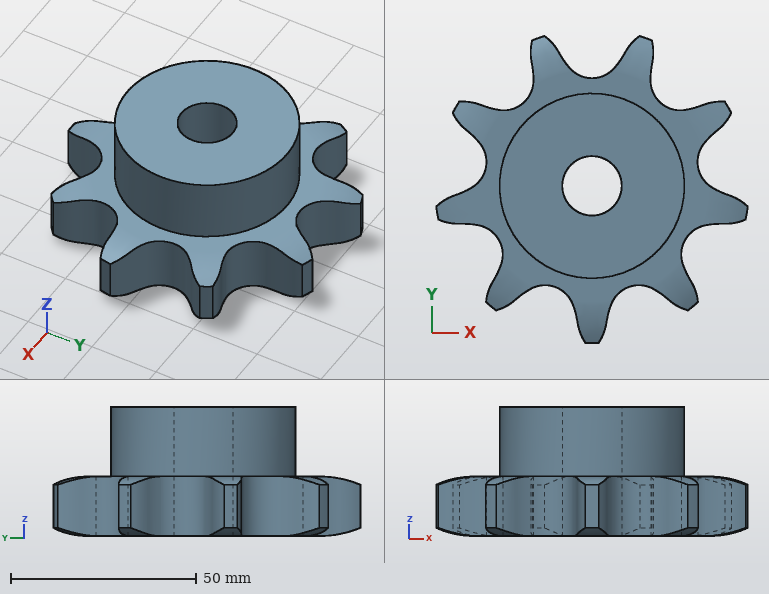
import cadquery as cq
import math


tooth_count = 9
pitch_diameter = 74.2
roller_diameter = 15.9
tip_diameter = 85.0
plate_width = 16.2
overall_height = 35.0
hub_diameter = 50.0
bore_diameter = 16.0
crown_start_radius = 31.5
crown_drop = 2.3

seat_radius = 0.5025 * roller_diameter
working_centre_distance = 0.8 * roller_diameter
topping_centre_distance = 1.4 * roller_diameter
working_radius = seat_radius + working_centre_distance
seat_angle = math.radians(35 + 60 / tooth_count)
working_sweep = math.radians(18 - 56 / tooth_count)

pitch_radius = pitch_diameter / 2
tip_radius = tip_diameter / 2
half_pitch_angle = math.pi / tooth_count
tooth_angle = 2 * half_pitch_angle
crown_length = tip_radius - crown_start_radius
crown_radius = (crown_length**2 + crown_drop**2) / (2 * crown_drop)
rim_clearance = 0.85


def polar(centre, radius, angle):
    return (centre[0] + radius * math.cos(angle), centre[1] + radius * math.sin(angle))


def mirrored(point):
    return (-point[0], point[1])


def turned(point, angle):
    x, y = point
    return (
        x * math.cos(angle) - y * math.sin(angle),
        x * math.sin(angle) + y * math.cos(angle),
    )


def right_flank():
    """Flank points on the right of a gap centred on +Y, from the roller seat to the tooth tip."""
    seat_centre = (0, pitch_radius)
    working_centre = polar(seat_centre, working_centre_distance, math.pi - seat_angle)
    topping_centre = polar(seat_centre, topping_centre_distance, -half_pitch_angle)

    seat_end = polar(seat_centre, seat_radius, -seat_angle)
    working_mid = polar(working_centre, working_radius, working_sweep / 2 - seat_angle)
    working_normal = working_sweep - seat_angle
    working_end = polar(working_centre, working_radius, working_normal)

    offset_x = topping_centre[0] - working_end[0]
    offset_y = topping_centre[1] - working_end[1]
    topping_radius = offset_x * math.cos(working_normal) + offset_y * math.sin(working_normal)
    topping_normal = working_normal + math.pi
    topping_start = polar(topping_centre, topping_radius, topping_normal)

    centre_radius = math.hypot(*topping_centre)
    cos_at_centre = (tip_radius**2 - centre_radius**2 - topping_radius**2) / (
        2 * centre_radius * topping_radius
    )
    outward = math.atan2(topping_centre[1], topping_centre[0])
    tip_normal = outward + math.acos(cos_at_centre)
    topping_mid = polar(topping_centre, topping_radius, (topping_normal % (2 * math.pi) + tip_normal) / 2)
    tip = polar(topping_centre, topping_radius, tip_normal)
    return seat_end, working_mid, working_end, topping_start, topping_mid, tip


def tooth_outline():
    """Closed outline of all gaps and teeth, followed clockwise from a gap centred on +Y."""
    seat_end, working_mid, working_end, topping_start, topping_mid, tip = right_flank()
    seat_bottom = (0, pitch_radius - seat_radius)
    tip_mid = polar((0, 0), tip_radius, math.pi / 2 - half_pitch_angle)
    next_tip = turned(mirrored(tip), -tooth_angle)

    outline = cq.Workplane("XY").moveTo(*mirrored(tip))
    for gap in range(tooth_count):
        def place(point):
            return turned(point, -gap * tooth_angle)

        outline = (
            outline
            .threePointArc(place(mirrored(topping_mid)), place(mirrored(topping_start)))
            .lineTo(*place(mirrored(working_end)))
            .threePointArc(place(mirrored(working_mid)), place(mirrored(seat_end)))
            .threePointArc(place(seat_bottom), place(seat_end))
            .threePointArc(place(working_mid), place(working_end))
            .lineTo(*place(topping_start))
            .threePointArc(place(topping_mid), place(tip))
            .threePointArc(place(tip_mid), place(next_tip))
        )
    return outline.close()


def crowned_disc():
    """Disc with rounded-off sides that trims the teeth towards their tips."""
    def crown_depth(radius):
        return crown_radius - math.sqrt(crown_radius**2 - (radius - crown_start_radius) ** 2)

    mid_radius = crown_start_radius + crown_length / 2
    mid_depth = crown_depth(mid_radius)
    rim_radius = tip_radius + rim_clearance
    return (
        cq.Workplane("XZ")
        .lineTo(crown_start_radius, 0)
        .threePointArc((mid_radius, mid_depth), (tip_radius, crown_drop))
        .lineTo(rim_radius, crown_drop)
        .lineTo(rim_radius, plate_width - crown_drop)
        .lineTo(tip_radius, plate_width - crown_drop)
        .threePointArc((mid_radius, plate_width - mid_depth), (crown_start_radius, plate_width))
        .lineTo(0, plate_width)
        .close()
        .revolve(360, (0, 0, 0), (0, 1, 0))
    )


plate = tooth_outline().extrude(plate_width).intersect(crowned_disc())
hub = cq.Workplane("XY").circle(hub_diameter / 2).extrude(overall_height)
bore = cq.Workplane("XY").circle(bore_diameter / 2).extrude(overall_height)

result = plate.union(hub).cut(bore)